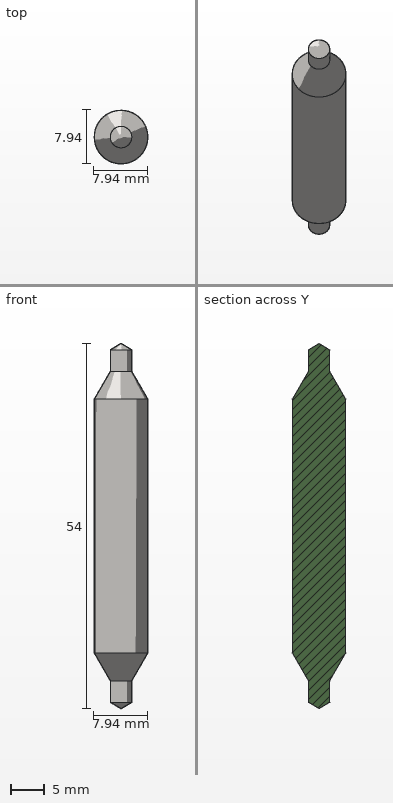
import cadquery as cq
import math

INCH = 25.4
body_diameter = 5 / 16 * INCH
overall_length = 2.125 * INCH
pilot_diameter = 1 / 8 * INCH
pilot_length = 1 / 8 * INCH
countersink_angle = 60
point_angle = 118


def cone_height(large_radius, small_radius, included_angle):
    """Axial height of a cone between two radii."""
    return (large_radius - small_radius) / math.tan(math.radians(included_angle / 2))


body_radius = body_diameter / 2
pilot_radius = pilot_diameter / 2
tip_z = overall_length / 2
pilot_end_z = tip_z - cone_height(pilot_radius, 0, point_angle)
pilot_root_z = pilot_end_z - pilot_length
body_end_z = pilot_root_z - cone_height(body_radius, pilot_radius, countersink_angle)

top_profile = [
    (0, tip_z),
    (-pilot_radius, pilot_end_z),
    (-pilot_radius, pilot_root_z),
    (-body_radius, body_end_z),
]
bottom_profile = [(x, -z) for x, z in reversed(top_profile)]

result = (
    cq.Workplane("XZ")
    .polyline(top_profile + bottom_profile)
    .close()
    .revolve(360, (0, 0, 0), (0, 1, 0))
)